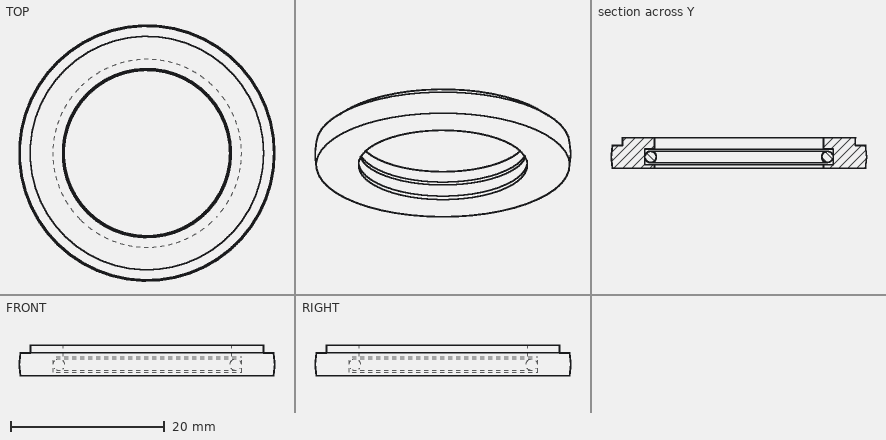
import cadquery as cq

height = 4.0
rim_height = 3.0
crown_z = rim_height / 2
crown_radius = 16.65
rim_edge_radius = 16.5
step_radius = 15.2
bore_radius = 11.0

oring_inner_radius = 10.75
oring_section_diameter = 1.5
oring_section_radius = oring_section_diameter / 2
oring_centre_radius = oring_inner_radius + oring_section_radius

groove_width = 2.0
groove_radius = oring_inner_radius + oring_section_diameter
groove_bottom_z = crown_z - groove_width / 2
groove_top_z = crown_z + groove_width / 2


def make_housing():
    """Revolve the half section, including the groove, about Z."""
    section = [
        (bore_radius, 0),
        (rim_edge_radius, 0),
        (crown_radius, crown_z),
        (rim_edge_radius, rim_height),
        (step_radius, rim_height),
        (step_radius, height),
        (bore_radius, height),
        (bore_radius, groove_top_z),
        (groove_radius, groove_top_z),
        (groove_radius, groove_bottom_z),
        (bore_radius, groove_bottom_z),
    ]
    return cq.Workplane("XZ").polyline(section).close().revolve(360, (0, 0), (0, 1))


def make_oring():
    """Revolve the round section about Z."""
    section = cq.Workplane("XZ").center(oring_centre_radius, crown_z).circle(oring_section_radius)
    return section.revolve(360, (-oring_centre_radius, 0), (-oring_centre_radius, 1))


housing = make_housing()
oring = make_oring()
result = cq.Compound.makeCompound([housing.val(), oring.val()])